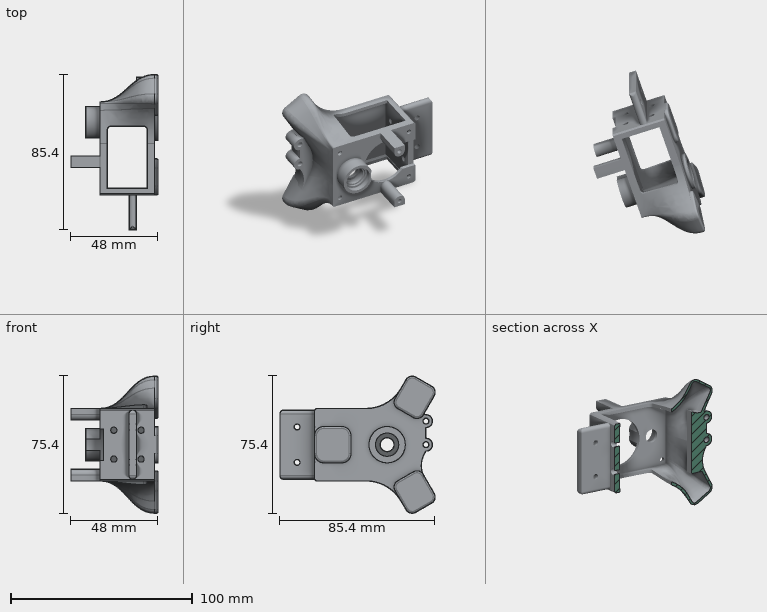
import cadquery as cq
import math


depth_x = 30.0
back_y = 51.2
half_height = 20.0
edge_round = 0.85
wall = 2.0
front_wall = 3.5

wing_tilt = math.radians(30)
wing_y = 54.95
wing_z = 26.0
wing_half_width = 9.0
wing_half_length = 10.0
wing_corner = 4.0
web_radius = 22.2
blend_stiffness = 0.45
blend_sections = 9

web_share = 0.83
back_shares = (1.0, 0.89, 0.82, 0.27, 0.0)

pad_thickness = 2.0
pad_fillet = 1.0
front_pad_size = 20.0
front_pad_corner = 5.0
ring_radius = 10.0
ring_bore_radius = 6.4

window_x = 4.1
window_front = 3.8
window_back = 37.8
window_corner = 2.0

bearing_y = 39.85
boss_length = 7.9
boss_radius = 9.0
boss_steps = ((7.2, 3.0), (6.1, 4.0), (5.2, boss_length))
shaft_radius = 3.75

opening_y = 18.35
opening_radius = 13.5
slot_half_height = 8.6
post_length = 16.0
post_radius = 3.2
post_z = 16.7
post_hole_radius = 1.3
screw_radius = 1.4
screw_ys = (4.0, 46.9)
screw_z = 15.0

flange_length = 19.1
flange_half_height = 19.0
flange_x = 15.95
flange_thickness = 4.1
flange_hole_radius = 1.5
flange_hole_y = -9.6
flange_hole_z = 9.7
front_hole_radius = 1.7
front_hole_xs = (7.6, 22.6)
front_hole_z = 7.9

lug_x = 20.05
lug_y = 61.2
lug_radius = 3.6
lug_hole_radius = 1.5
lug_zs = (0.0, 13.0)
lug_top = 16.7
lug_arc_mid = (58.7, -11.0)
lug_arc_end = (60.2, -17.75)


def move(point, direction, distance):
    return (point[0] + distance * direction[0], point[1] + distance * direction[1])


def line_curve(start, end):
    """Four Bezier poles of a straight stretch."""
    return [tuple(p + (q - p) * k / 3 for p, q in zip(start, end)) for k in range(4)]


def arc_curve(start, start_dir, end, end_dir, radius, angle):
    """Four Bezier poles of a circular arc."""
    reach = radius * 4 / 3 * math.tan(angle / 4)
    return [start, move(start, start_dir, reach), move(end, end_dir, -reach), end]


def mirrored(curve):
    return [(y, -z) for y, z in reversed(curve)]


along = (math.sin(wing_tilt), math.cos(wing_tilt))
across = (math.cos(wing_tilt), -math.sin(wing_tilt))
down_along = (-along[0], -along[1])
down = (0.0, -1.0)
backward = (1.0, 0.0)


def wing_outline(inset):
    """Upper half outline at the pad end, from the front wall over the wing to Z = 0."""
    top = half_height - inset
    half_width = wing_half_width - inset
    half_length = wing_half_length - inset
    corner = wing_corner - inset
    radius = web_radius + inset
    turn = math.pi / 2 - wing_tilt
    tangent = radius * math.tan(turn / 2)

    center = (wing_y, wing_z)
    front_side = move(center, across, -half_width)
    back_side = move(center, across, half_width)
    end_side = move(center, along, half_length)

    meet = move(front_side, along, (top - front_side[1]) / along[1])
    web_start = move(meet, backward, -tangent)
    web_end = move(meet, along, tangent)
    front_corner = move(front_side, along, half_length - corner)
    end_front = move(end_side, across, corner - half_width)
    end_back = move(end_side, across, half_width - corner)
    back_corner = move(back_side, along, half_length - corner)

    gap_vertex = move(back_side, along, -back_side[1] / along[1])
    gap_start = move(gap_vertex, along, radius * math.tan(wing_tilt))
    gap_mid = move(gap_vertex, backward, radius * (1 / math.cos(wing_tilt) - 1))

    front_y = front_wall if inset else 0.0
    return [
        line_curve((front_y, top), web_start),
        arc_curve(web_start, backward, web_end, along, radius, turn),
        line_curve(web_end, front_corner),
        arc_curve(front_corner, along, end_front, across, corner, math.pi / 2),
        line_curve(end_front, end_back),
        arc_curve(end_back, across, back_corner, down_along, corner, math.pi / 2),
        line_curve(back_corner, gap_start),
        arc_curve(gap_start, down_along, gap_mid, down, radius, wing_tilt),
    ]


def housing_outline(inset, wing):
    """Plain upper half outline, split into the same stretches as the wing outline."""
    top = half_height - inset
    back = back_y - inset
    round_start = (back - edge_round, top)
    round_end = (back, top - edge_round)
    web_start = wing[0][3]
    web_mid = move(web_start, backward, web_share * (round_start[0] - web_start[0]))
    back_points = [(back, share * round_end[1]) for share in back_shares]
    curves = [
        wing[0],
        line_curve(web_start, web_mid),
        line_curve(web_mid, round_start),
        arc_curve(round_start, backward, round_end, down, edge_round, math.pi / 2),
    ]
    return curves + [line_curve(p, q) for p, q in zip(back_points, back_points[1:])]


def section_wire(curves, x):
    curves = curves + [mirrored(c) for c in reversed(curves)]
    curves.append(line_curve(curves[-1][-1], curves[0][0]))
    edges = [cq.Edge.makeBezier([cq.Vector(x, y, z) for y, z in c]) for c in curves]
    return cq.Wire.assembleEdges(edges)


def winged_body(inset):
    """Solid blending along an S curve from the housing outline to the wing outline."""
    wing = wing_outline(inset)
    plain = housing_outline(inset, wing)
    wires = []
    for i in range(blend_sections):
        u = i / (blend_sections - 1)
        share = u * u * (3 - 2 * u)
        travel = share + 3 * blend_stiffness * u * (1 - u) * (1 - 2 * u)
        blend = [
            [tuple(p + (q - p) * share for p, q in zip(a, b)) for a, b in zip(c, d)]
            for c, d in zip(plain, wing)
        ]
        wires.append(section_wire(blend, inset + travel * (depth_x - 2 * inset)))
    return cq.Workplane(obj=cq.Solid.makeLoft(wires))


def block(x0, x1, y0, y1, z0, z1):
    return cq.Workplane(obj=cq.Solid.makeBox(x1 - x0, y1 - y0, z1 - z0, cq.Vector(x0, y0, z0)))


def rod_x(radius, x0, x1, y, z):
    start = cq.Vector(x0, y, z)
    return cq.Workplane(obj=cq.Solid.makeCylinder(radius, x1 - x0, start, cq.Vector(1, 0, 0)))


def pad(width, length, corner, y, z, tilt):
    """Rounded pad on the +X wall with a softened outer rim."""
    return (
        cq.Workplane("YZ")
        .rect(width, length)
        .extrude(pad_thickness)
        .edges("|X")
        .fillet(corner)
        .faces(">X")
        .edges()
        .fillet(pad_fillet)
        .rotate((0, 0, 0), (1, 0, 0), tilt)
        .translate((depth_x, y, z))
    )


def lug_plate():
    """Screw lugs on a plate that closes the gap between the wings."""
    inner_half_height = half_height - wall
    bottom = -lug_radius
    plate = (
        cq.Workplane("YZ", origin=(lug_x, 0, 0))
        .moveTo(back_y, inner_half_height)
        .lineTo(wing_y, lug_top)
        .lineTo(lug_y, lug_top)
        .lineTo(lug_y, bottom)
        .threePointArc(lug_arc_mid, lug_arc_end)
        .lineTo(back_y, -inner_half_height)
        .close()
        .extrude(depth_x - lug_x)
    )
    for z in lug_zs:
        plate = plate.union(rod_x(lug_radius, lug_x, depth_x, lug_y, z))
    return plate


def flange():
    """Plate with fully rounded long edges and rounded outer corners."""
    overlap = front_wall / 2
    bar = (
        cq.Workplane("XZ", origin=(flange_x + flange_thickness / 2, overlap, 0))
        .slot2D(2 * flange_half_height, flange_thickness, 90)
        .extrude(flange_length + overlap)
    )
    half = flange_half_height
    side = block(flange_x, flange_x + flange_thickness, -flange_length, overlap, -half, half)
    return bar.intersect(side.edges("|X and <Y").fillet(flange_thickness / 2))


def window():
    cut = block(
        window_x, depth_x - window_x, window_front, window_back, -2 * half_height, 2 * half_height
    )
    return cut.edges("|Z and >Y").fillet(window_corner)


def post(side):
    """Square-backed post flush with the top or bottom, rounded towards the middle."""
    z0, z1 = sorted((side * post_z, side * half_height))
    shape = block(-post_length, wall, opening_y - post_radius, opening_y + post_radius, z0, z1)
    return shape.union(rod_x(post_radius, -post_length, wall, opening_y, side * post_z))


body = winged_body(0.0).cut(winged_body(wall)).union(lug_plate())
for side in (1, -1):
    edge_z = side * half_height
    corner_cut = (
        cq.Workplane("YZ")
        .polyline([(0, edge_z), (edge_round, edge_z), (0, edge_z - side * edge_round)])
        .close()
        .extrude(depth_x)
    )
    body = body.cut(corner_cut)
body = body.cut(window())

body = body.union(pad(front_pad_size, front_pad_size, front_pad_corner, front_pad_size / 2, 0, 0))
body = body.union(rod_x(ring_radius, depth_x, depth_x + pad_thickness, bearing_y, 0))
for side in (1, -1):
    body = body.union(
        pad(
            2 * wing_half_width,
            2 * wing_half_length,
            wing_corner,
            wing_y,
            side * wing_z,
            -side * math.degrees(wing_tilt),
        )
    )
body = body.cut(rod_x(ring_bore_radius, depth_x - wall, depth_x + pad_thickness, bearing_y, 0))

body = body.union(rod_x(boss_radius, -boss_length, 0, bearing_y, 0))
for radius, step_depth in boss_steps:
    body = body.cut(rod_x(radius, -boss_length, step_depth - boss_length, bearing_y, 0))
body = body.cut(rod_x(shaft_radius, -boss_length, wall, bearing_y, 0))
body = body.cut(rod_x(opening_radius, -boss_length, wall, opening_y, 0))
body = body.cut(block(0, wall, 0, opening_y, -slot_half_height, slot_half_height))

body = body.union(flange())
for side in (1, -1):
    body = body.union(post(side))
    body = body.cut(rod_x(post_hole_radius, -post_length, 0, opening_y, side * post_z))
    flange_end = flange_x + flange_thickness
    body = body.cut(rod_x(flange_hole_radius, flange_x, flange_end, flange_hole_y, side * flange_hole_z))
    for y in screw_ys:
        body = body.cut(rod_x(screw_radius, 0, wall, y, side * screw_z))
    for x in front_hole_xs:
        start = cq.Vector(x, 0, side * front_hole_z)
        hole = cq.Solid.makeCylinder(front_hole_radius, front_wall, start, cq.Vector(0, 1, 0))
        body = body.cut(cq.Workplane(obj=hole))
for z in lug_zs:
    body = body.cut(rod_x(lug_hole_radius, lug_x, depth_x, lug_y, z))

result = body